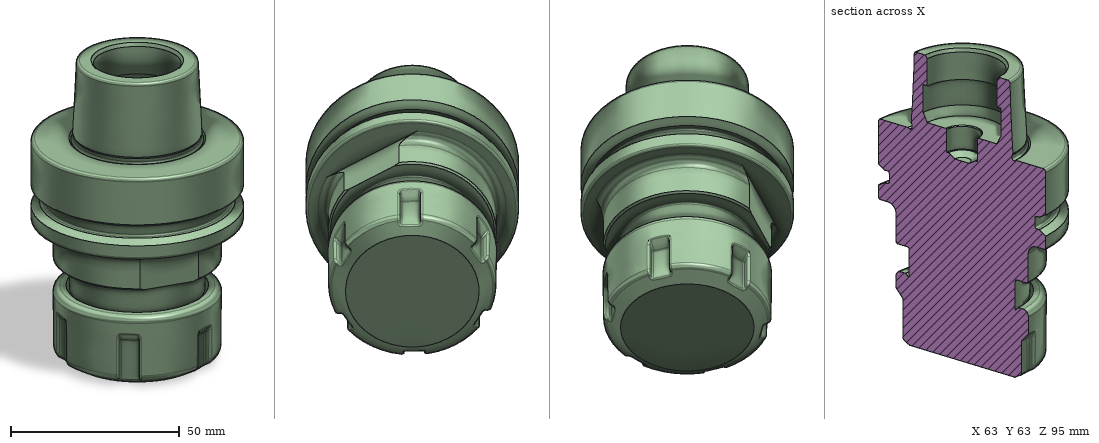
import cadquery as cq
import math


TOTAL_HEIGHT = 95.0
FLANGE_RADIUS = 63.0 / 2

NUT_TOP_Z = 22.9
NUT_TOP_RADIUS = 25.0
NUT_LOWER_RADIUS = 24.8
NUT_FACE_RADIUS = 19.8
NUT_ROUND = 2.0
NUT_CONE_ANGLE = 30.0
NUT_MOUTH_RADIUS = 21.1

SLOT_COUNT = 6
SLOT_WIDTH = 6.0
SLOT_FLOOR_RADIUS = 22.3
SLOT_FIRST_ANGLE = 30.0
SLOT_RAMP_SLOPE = 1.1
SLOT_RUNOUT = 1.9
SLOT_FRONT_TOP_Z = 17.4
SLOT_BACK_TOP_Z = 15.3
SLOT_FLOOR_ROUND = 0.5
SLOT_EDGE_ROUND = 0.7

NECK_RADIUS = 20.0
NECK_BOTTOM_Z = 19.0
NECK_ROUND = 0.5
COLLAR_BOTTOM_Z = 31.4
COLLAR_RADIUS = 24.9
COLLAR_CHAMFER = 0.6
COLLAR_ROUND = 2.9
FLATS_WIDTH = 46.0

FLANGE_BOTTOM_Z = 44.0
FLANGE_TOP_Z = 70.0
FLANGE_TOP_ROUND = 1.0
FLANGE_BOTTOM_ROUND = 0.8
GROOVE_LOWER_Z = 48.5
GROOVE_UPPER_Z = 55.3
GROOVE_RADIUS = 27.5
GROOVE_FLANK_HEIGHT = 1.4
GROOVE_FLANK_ANGLE = 30.0
GROOVE_ROUND = 0.6

SHANK_TOP_RADIUS = 18.05
SHANK_BASE_RADIUS = 19.2
SHANK_BASE_Z = 71.8
SHANK_ROUND = 0.95
UNDERCUT_RADIUS = 18.9
UNDERCUT_TOP_Z = 71.25
UNDERCUT_BOTTOM_Z = 69.6
UNDERCUT_ROUND = 0.7
UNDERCUT_FLOOR_RADIUS = 19.7
UNDERCUT_RIM_RADIUS = 20.2

BORE_RADIUS = 13.0
BORE_MOUTH_RADIUS = 13.7
BORE_MOUTH_DEPTH = 1.0
BORE_LIP_DEPTH = 9.9
RELIEF_RADIUS = 14.5
RELIEF_CONE_DEPTH = 18.7
BORE_DEPTH = 21.6

COOLANT_RADIUS = 5.7
COOLANT_CHAMFER = 0.3
COOLANT_DEPTH = 7.6
COOLANT_CONE_RADIUS = 5.0
COOLANT_TIP_RADIUS = 2.7
COOLANT_CONE_ANGLE = 30.0

ORIGIN = (0, 0, 0)
Z_AXIS = (0, 0, 1)


def turned(corners):
    """Revolve a closed outline about Z; each corner is (radius, z) or (radius, z, rounding)."""
    points = [cq.Vector(corner[0], corner[1], 0) for corner in corners]
    outline = cq.Workplane("XZ").moveTo(*corners[0][:2])
    for i in range(1, len(corners)):
        corner = points[i]
        if len(corners[i]) == 2:
            outline = outline.lineTo(corner.x, corner.y)
            continue
        rounding = corners[i][2]
        back = (points[i - 1] - corner).normalized()
        ahead = (points[(i + 1) % len(points)] - corner).normalized()
        half_angle = back.getAngle(ahead) / 2
        tangent_length = rounding / math.tan(half_angle)
        middle_distance = rounding / math.sin(half_angle) - rounding
        start = corner + back * tangent_length
        middle = corner + (back + ahead).normalized() * middle_distance
        end = corner + ahead * tangent_length
        outline = outline.lineTo(start.x, start.y)
        outline = outline.threePointArc((middle.x, middle.y), (end.x, end.y))
    return outline.close().revolve(360, ORIGIN, (0, 1, 0))


def make_slot_cutter(top_z):
    """Slot on the +X side with a flat floor, ramped upper end and rounded floor corners."""
    outer_radius = NUT_TOP_RADIUS + SLOT_RUNOUT
    ramp_base_z = top_z - SLOT_RAMP_SLOPE * (NUT_TOP_RADIUS - SLOT_FLOOR_RADIUS)
    ramp_end_z = top_z + SLOT_RAMP_SLOPE * SLOT_RUNOUT
    cutter = (
        cq.Workplane("XZ")
        .moveTo(outer_radius, -SLOT_RUNOUT)
        .lineTo(SLOT_FLOOR_RADIUS, -SLOT_RUNOUT)
        .lineTo(SLOT_FLOOR_RADIUS, ramp_base_z)
        .lineTo(outer_radius, ramp_end_z)
        .close()
        .extrude(SLOT_WIDTH / 2, both=True)
    )
    return cutter.edges("(not >X) and (not <Z)").fillet(SLOT_FLOOR_ROUND)


def cut_slot(nut, angle, top_z):
    """Cut one wrench slot into the nut and round its outer edge."""
    nut = nut.cut(make_slot_cutter(top_z).rotate(ORIGIN, Z_AXIS, angle))
    side_angle = math.radians(angle) + math.asin(SLOT_WIDTH / 2 / NUT_LOWER_RADIUS)
    side_point = (
        NUT_LOWER_RADIUS * math.cos(side_angle),
        NUT_LOWER_RADIUS * math.sin(side_angle),
        top_z / 2,
    )
    side_edge = cq.selectors.NearestToPointSelector(side_point)
    return nut.edges(side_edge).fillet(SLOT_EDGE_ROUND)


def make_nut():
    cone_height = (NUT_LOWER_RADIUS - NUT_FACE_RADIUS) * math.tan(math.radians(NUT_CONE_ANGLE))
    mouth_bottom_z = NUT_TOP_Z - (NUT_MOUTH_RADIUS - NECK_RADIUS)
    nut = turned([
        (0, 0),
        (NUT_FACE_RADIUS, 0),
        (NUT_LOWER_RADIUS, cone_height, NUT_ROUND),
        (NUT_TOP_RADIUS, NUT_TOP_Z, NUT_ROUND),
        (NUT_MOUTH_RADIUS, NUT_TOP_Z),
        (NECK_RADIUS, mouth_bottom_z),
        (0, mouth_bottom_z),
    ])
    for i in range(SLOT_COUNT):
        angle = SLOT_FIRST_ANGLE + i * 360 / SLOT_COUNT
        top_z = SLOT_BACK_TOP_Z if angle < 180 else SLOT_FRONT_TOP_Z
        nut = cut_slot(nut, angle, top_z)
    return nut


def make_neck_and_collar():
    """Neck rising out of the nut, and the wrench collar flared into the flange."""
    body = turned([
        (0, NECK_BOTTOM_Z),
        (NECK_RADIUS, NECK_BOTTOM_Z),
        (NECK_RADIUS, COLLAR_BOTTOM_Z, NECK_ROUND),
        (COLLAR_RADIUS - COLLAR_CHAMFER, COLLAR_BOTTOM_Z),
        (COLLAR_RADIUS, COLLAR_BOTTOM_Z + COLLAR_CHAMFER),
        (COLLAR_RADIUS, FLANGE_BOTTOM_Z, COLLAR_ROUND),
        (FLANGE_RADIUS - FLANGE_BOTTOM_ROUND, FLANGE_BOTTOM_Z),
        (0, FLANGE_BOTTOM_Z),
    ])
    between_flats = cq.Workplane("XY").box(
        FLATS_WIDTH, 2 * FLANGE_RADIUS, TOTAL_HEIGHT, centered=(True, True, False))
    return body.intersect(between_flats)


def make_flange_and_shank():
    """Flange with its groove, and the taper shank standing in an undercut."""
    flank_radius = FLANGE_RADIUS - GROOVE_FLANK_HEIGHT / math.tan(math.radians(GROOVE_FLANK_ANGLE))
    channel_lower_z = GROOVE_LOWER_Z + GROOVE_FLANK_HEIGHT
    channel_upper_z = GROOVE_UPPER_Z - GROOVE_FLANK_HEIGHT
    return turned([
        (0, FLANGE_BOTTOM_Z),
        (FLANGE_RADIUS, FLANGE_BOTTOM_Z, FLANGE_BOTTOM_ROUND),
        (FLANGE_RADIUS, GROOVE_LOWER_Z),
        (flank_radius, channel_lower_z),
        (GROOVE_RADIUS, channel_lower_z, GROOVE_ROUND),
        (GROOVE_RADIUS, channel_upper_z, GROOVE_ROUND),
        (flank_radius, channel_upper_z),
        (FLANGE_RADIUS, GROOVE_UPPER_Z),
        (FLANGE_RADIUS, FLANGE_TOP_Z, FLANGE_TOP_ROUND),
        (UNDERCUT_RIM_RADIUS, FLANGE_TOP_Z),
        (UNDERCUT_FLOOR_RADIUS, UNDERCUT_BOTTOM_Z),
        (UNDERCUT_RADIUS, UNDERCUT_BOTTOM_Z, UNDERCUT_ROUND),
        (UNDERCUT_RADIUS, UNDERCUT_TOP_Z),
        (SHANK_BASE_RADIUS, SHANK_BASE_Z),
        (SHANK_TOP_RADIUS, TOTAL_HEIGHT, SHANK_ROUND),
        (0, TOTAL_HEIGHT),
    ])


def make_bore():
    """Stepped cavity of the shank: chamfered lip, wider relief and a blind coolant hole."""
    floor_z = TOTAL_HEIGHT - BORE_DEPTH
    coolant_floor_z = floor_z - COOLANT_DEPTH
    cone_width = COOLANT_CONE_RADIUS - COOLANT_TIP_RADIUS
    tip_z = coolant_floor_z - cone_width * math.tan(math.radians(COOLANT_CONE_ANGLE))
    return turned([
        (0, TOTAL_HEIGHT),
        (BORE_MOUTH_RADIUS, TOTAL_HEIGHT),
        (BORE_RADIUS, TOTAL_HEIGHT - BORE_MOUTH_DEPTH),
        (BORE_RADIUS, TOTAL_HEIGHT - BORE_LIP_DEPTH),
        (RELIEF_RADIUS, TOTAL_HEIGHT - BORE_LIP_DEPTH),
        (RELIEF_RADIUS, TOTAL_HEIGHT - RELIEF_CONE_DEPTH),
        (BORE_RADIUS, floor_z),
        (COOLANT_RADIUS + COOLANT_CHAMFER, floor_z),
        (COOLANT_RADIUS, floor_z - COOLANT_CHAMFER),
        (COOLANT_RADIUS, coolant_floor_z),
        (COOLANT_CONE_RADIUS, coolant_floor_z),
        (COOLANT_TIP_RADIUS, tip_z),
        (0, tip_z),
    ])


result = make_nut().union(make_neck_and_collar()).union(make_flange_and_shank()).cut(make_bore())